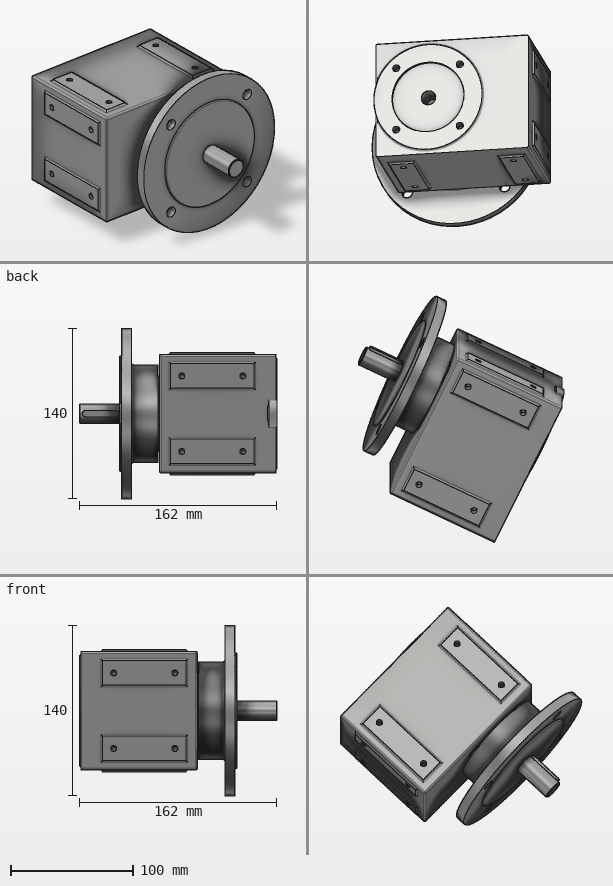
import cadquery as cq
import math


housing_left = 1.1
housing_right = 96.5
housing_back = 43.7
housing_front = -83.8
housing_half_height = 48.6
edge_radius = 1.6

pad_center_x = 53.1
pad_length = 68.4
pad_width = 20.1
pad_height_z = 1.6
pad_height_y = 1.3
pad_root = 3.2
pad_z = 31.0
pad_spacing_y = 92.0
pad_hole_diameter = 4.9
pad_hole_spacing = 50.0
pad_hole_depth = 9.7
drill_point_angle = 118.0

input_radius = 45.2
input_length = 6.8
input_blend = housing_left
recess_diameter = 60.0
recess_depth = 2.5
input_bore_diameter = 12.0
input_bore_depth = 22.7
input_bolt_diameter = 5.7
input_bolt_circle = 75.0
input_bolt_depth = 9.7

neck_side = 61.9
neck_corner_radius = 8.0
tube_left = 97.7
tube_radius = 80.0 / 2
tube_blend = 1.6
flange_left = 119.2
flange_right = 127.3
flange_radius = 140.0 / 2
flange_bolt_diameter = 9.0
flange_bolt_circle = 115.0
spigot_right = 129.0
spigot_radius = 95.0 / 2
spigot_edge_radius = 0.8

shaft_right = 162.0
shaft_radius = 16.0 / 2
shaft_chamfer = 0.6
key_left = 129.3
key_right = 159.5
key_width = 5.0
key_top = 9.9

housing_center_y = (housing_back + housing_front) / 2
diagonal = math.sqrt(0.5)


def along_x(x):
    """Sketch plane facing +X at the given X, with local x = Y and local y = Z."""
    return cq.Workplane("YZ", origin=(x, 0, 0))


def square_points(circle_diameter):
    """Four points on a circle, on its diagonals."""
    reach = circle_diameter / 2 * diagonal
    return [(sy * reach, sz * reach) for sy in (-1, 1) for sz in (-1, 1)]


def make_housing():
    body = along_x(housing_left).center(housing_center_y, 0).rect(
        housing_back - housing_front, 2 * housing_half_height
    ).extrude(housing_right - housing_left)
    return body.edges("|X or >X").fillet(edge_radius)


def pad_profile(plane, size, height):
    """Pad section: flat top, with concave sides that run out into the housing face."""
    half = size / 2
    outer = half + height
    bow = height * (1 - diagonal)
    return (
        cq.Workplane(plane)
        .moveTo(-outer, -pad_root)
        .lineTo(-outer, 0)
        .threePointArc((-half - bow, bow), (-half, height))
        .lineTo(half, height)
        .threePointArc((half + bow, bow), (outer, 0))
        .lineTo(outer, -pad_root)
        .close()
    )


def make_pad(height):
    """Pad on the XY plane, centred on the origin and rising along +Z."""
    lengthwise = pad_profile("XZ", pad_length, height).extrude(pad_width, both=True)
    crosswise = pad_profile("YZ", pad_width, height).extrude(pad_length, both=True)
    return lengthwise.intersect(crosswise)


def make_pad_holes(height):
    """Two drilled holes with pointed ends, for a pad made by make_pad."""
    radius = pad_hole_diameter / 2
    tip = radius / math.tan(math.radians(drill_point_angle / 2))
    drill = (
        cq.Workplane("XZ")
        .moveTo(0, height)
        .lineTo(radius, height)
        .lineTo(radius, height - pad_hole_depth)
        .lineTo(0, height - pad_hole_depth - tip)
        .close()
        .revolve(360, (0, 0), (0, 1))
    )
    half = pad_hole_spacing / 2
    return drill.translate((-half, 0, 0)).union(drill.translate((half, 0, 0)))


def on_every_side(shape_for_height):
    """Place a shape at all eight pad positions."""
    x_axis = ((0, 0, 0), (1, 0, 0))
    flat = shape_for_height(pad_height_z)
    upright = shape_for_height(pad_height_y)
    placed = []
    for side in (-1, 1):
        y = housing_center_y + side * pad_spacing_y / 2
        z = side * pad_z
        placed += [
            flat.translate((pad_center_x, y, housing_half_height)),
            flat.rotate(*x_axis, 180).translate((pad_center_x, y, -housing_half_height)),
            upright.rotate(*x_axis, 90).translate((pad_center_x, housing_front, z)),
            upright.rotate(*x_axis, -90).translate((pad_center_x, housing_back, z)),
        ]
    return placed


def make_input_flange():
    """Disc that overhangs the back of the housing, with concave blends where it meets the housing."""
    bow = input_blend * (1 - diagonal)
    disc = (
        cq.Workplane("XY")
        .lineTo(0, input_radius)
        .lineTo(input_length, input_radius)
        .threePointArc(
            (input_length + bow, input_radius - input_blend + bow),
            (input_length + input_blend, input_radius - input_blend),
        )
        .lineTo(input_length + input_blend, 0)
        .close()
        .revolve(360, (0, 0), (1, 0))
    )
    root = (
        cq.Workplane("XY")
        .lineTo(0, input_radius)
        .threePointArc(
            (housing_left - bow, input_radius + bow),
            (housing_left, input_radius + input_blend),
        )
        .lineTo(input_length, input_radius + input_blend)
        .lineTo(input_length, 0)
        .close()
        .revolve(360, (0, 0), (1, 0))
    )
    housing_span = along_x(0).center(housing_center_y, 0).rect(
        housing_back - housing_front - 2 * edge_radius, 2 * housing_half_height
    ).extrude(input_length)
    return disc.union(root.intersect(housing_span))


def make_input_cuts():
    recess = along_x(0).circle(recess_diameter / 2).extrude(recess_depth)
    bore = along_x(0).circle(input_bore_diameter / 2).extrude(recess_depth + input_bore_depth)
    bolts = (
        along_x(0)
        .pushPoints(square_points(input_bolt_circle))
        .circle(input_bolt_diameter / 2)
        .extrude(input_bolt_depth)
    )
    return recess.union(bore).union(bolts)


def make_neck():
    neck = along_x(housing_right).rect(neck_side, neck_side).extrude(tube_left - housing_right)
    return neck.edges("|X").fillet(neck_corner_radius)


def make_output():
    """Tube, flange, spigot and shaft turned about the X axis, with the flange holes."""
    bow = tube_blend * (1 - diagonal)
    corner = spigot_edge_radius * (1 - diagonal)
    turned = (
        cq.Workplane("XY")
        .moveTo(tube_left, 0)
        .lineTo(tube_left, tube_radius)
        .lineTo(flange_left - tube_blend, tube_radius)
        .threePointArc((flange_left - bow, tube_radius + bow), (flange_left, tube_radius + tube_blend))
        .lineTo(flange_left, flange_radius)
        .lineTo(flange_right, flange_radius)
        .lineTo(flange_right, spigot_radius)
        .lineTo(spigot_right - spigot_edge_radius, spigot_radius)
        .threePointArc(
            (spigot_right - corner, spigot_radius - corner),
            (spigot_right, spigot_radius - spigot_edge_radius),
        )
        .lineTo(spigot_right, shaft_radius)
        .lineTo(shaft_right - shaft_chamfer, shaft_radius)
        .lineTo(shaft_right, shaft_radius - shaft_chamfer)
        .lineTo(shaft_right, 0)
        .close()
        .revolve(360, (0, 0), (1, 0))
    )
    bolts = (
        along_x(flange_left)
        .pushPoints(square_points(flange_bolt_circle))
        .circle(flange_bolt_diameter / 2)
        .extrude(flange_right - flange_left)
    )
    return turned.cut(bolts)


def make_key():
    """Round-ended key on the back (+Y) side of the shaft."""
    return (
        cq.Workplane("XZ")
        .center((key_left + key_right) / 2, 0)
        .slot2D(key_right - key_left, key_width)
        .extrude(-key_top)
    )


result = make_housing().union(make_input_flange())
for pad in on_every_side(make_pad):
    result = result.union(pad)
for holes in on_every_side(make_pad_holes):
    result = result.cut(holes)
result = result.cut(make_input_cuts()).union(make_neck()).union(make_output()).union(make_key())